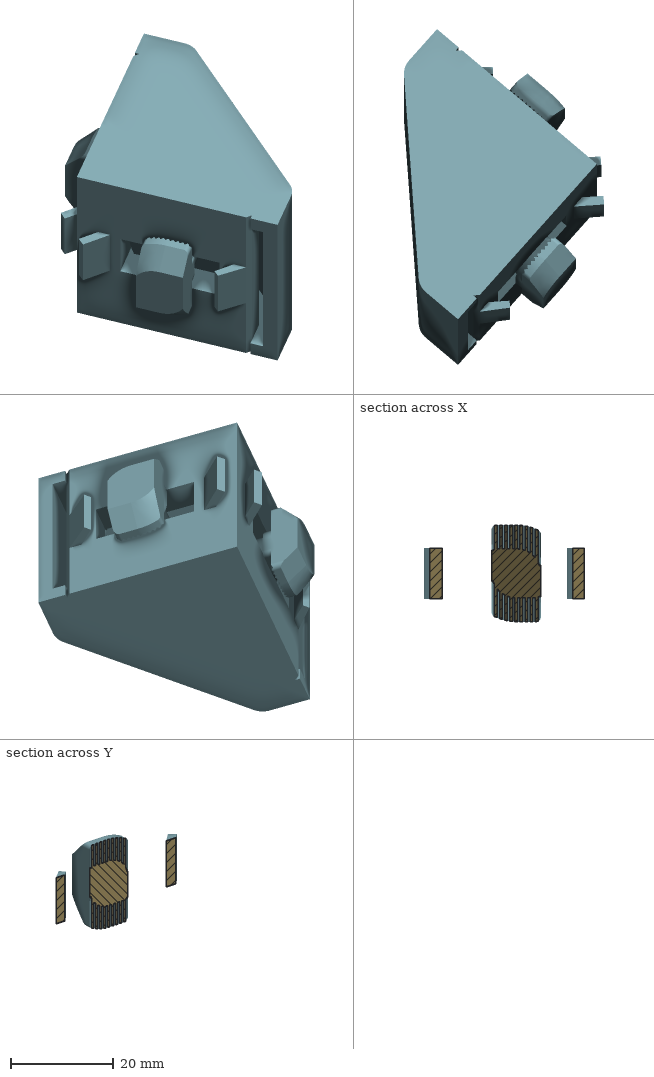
import cadquery as cq
import math


outer_length = 41.5
height = 38.0
wall = 3.0

bracket_length = 35.9
leg_thickness = 5.4
end_chamfer = 0.9
slot_start = 9.0
slot_end = 29.5
slot_height = 9.0
bolt_position = 19.5

tab_width = 10.0
inner_tab_root = (4.4, 6.88)
inner_tab_reach = 4.2
inner_tab_tip = 1.22
end_tab_root = 32.42
end_tab_reach = 3.95
end_tab_tip = 1.0

cover_bevel_sum = 51.55
cover_corner_radius = 4.0

bolt_width = 9.7
head_half_length = 9.5
head_tip = 7.3
head_bevel = 3.8
tooth_root = 2.05
tooth_depth = 0.5
tooth_pitch = 1.0
bolt_corner_fillet = 1.0
shank_diameter = 8.0
shank_length = 14.0

flange_diameter = 21.0
flange_thickness = 2.0
nut_height = 7.0
nut_across_flats = 13.0
nut_turns = [0, 90]

half_width = bolt_width / 2
tooth_tip = tooth_root - tooth_depth

x_face = cq.Plane(origin=(0, bolt_position, 0), xDir=(0, -1, 0), normal=(-1, 0, 0))
y_face = cq.Plane(origin=(bolt_position, 0, 0), xDir=(1, 0, 0), normal=(0, -1, 0))
faces = [x_face, y_face]


def placed(body, plane):
    """Move a body from its own frame onto a fastening face."""
    return cq.Workplane(body.val().moved(cq.Location(plane)))


def swapped(points):
    """Mirror points across the line X = Y."""
    return [(y, x) for x, y in points]


def prism(points, depth):
    """Extrude a plan outline, centred on the middle height."""
    return cq.Workplane("XY").polyline(points).close().extrude(depth / 2, both=True)


def tab_outlines():
    """Plan outlines of the two tabs on the X = 0 face."""
    near, far = inner_tab_root
    inner_base = inner_tab_reach - inner_tab_tip
    inner_tab = [
        (0, near),
        (-inner_base, near - inner_base),
        (-inner_tab_reach, far - inner_tab_reach),
        (0, far),
    ]
    end_base = end_tab_reach - end_tab_tip
    end_tip = end_tab_root - end_base
    end_tab = [
        (0, end_tab_root),
        (-end_base, end_tip),
        (-end_tab_reach, end_tip + end_tab_tip),
        (0, bracket_length - end_chamfer),
    ]
    return [inner_tab, end_tab]


def make_bracket():
    """Two slotted legs joined by triangular webs above and below, with tabs on both faces."""
    chamfered_end = [
        (leg_thickness, bracket_length),
        (end_chamfer, bracket_length),
        (0, bracket_length - end_chamfer),
    ]
    outline = [(0, 0), *reversed(swapped(chamfered_end)), *chamfered_end]
    bracket = prism(outline, height)

    cavity = [
        (leg_thickness, leg_thickness),
        (bracket_length, leg_thickness),
        (leg_thickness, bracket_length),
    ]
    bracket = bracket.cut(prism(cavity, height - 2 * wall))

    slot = [(0, slot_start), (leg_thickness, slot_start), (leg_thickness, slot_end), (0, slot_end)]
    for outline in [slot, swapped(slot)]:
        bracket = bracket.cut(prism(outline, slot_height))

    for outline in tab_outlines():
        bracket = bracket.union(prism(outline, tab_width))
        bracket = bracket.union(prism(swapped(outline), tab_width))
    return bracket


def cover_outline(size, bevel_sum):
    """Cover plan: a square of the given size with its far corner cut off at 45 degrees."""
    bevel_start = bevel_sum - size
    return [(0, 0), (size, 0), (size, bevel_start), (bevel_start, size), (0, size)]


def make_cover():
    """Hollow shell that wraps the sloping side and the ends of the bracket."""
    shell = prism(cover_outline(outer_length, cover_bevel_sum), height)
    bevel_start = cover_bevel_sum - outer_length
    for corner in [(outer_length, bevel_start), (bevel_start, outer_length)]:
        shell = shell.edges(cq.selectors.NearestToPointSelector((*corner, 0))).fillet(cover_corner_radius)

    inside = cover_outline(outer_length - wall, cover_bevel_sum - wall * math.sqrt(2))
    bracket_space = cover_outline(bracket_length, bracket_length + leg_thickness)
    return shell.cut(prism(inside, height - 2 * wall)).cut(prism(bracket_space, height))


def make_head():
    """Bevelled T-head: two square-cornered quadrants and two turned ones, toothed underneath."""
    profile = [
        (0, tooth_tip),
        (head_half_length, tooth_tip),
        (head_half_length, head_tip - head_bevel),
        (head_half_length - head_bevel, head_tip),
        (0, head_tip),
    ]
    square = cq.Workplane("YZ").polyline(profile).close().extrude(half_width)
    square = square.edges("|Z").edges(">X and >Y").fillet(bolt_corner_fillet)
    turned = cq.Workplane("YZ").polyline(profile).close().revolve(90, (0, 0, 0), (0, 1, 0))
    rounded = cq.Workplane("XY").circle(head_half_length).extrude(head_tip)
    rounded = rounded.intersect(cq.Workplane("XY").box(bolt_width, 2 * head_half_length, 2 * head_tip))
    rounded = rounded.edges("|Z").fillet(bolt_corner_fillet)
    turned = turned.intersect(rounded)
    upper_half = square.union(turned)
    head = upper_half.union(upper_half.rotate((0, 0, 0), (0, 0, 1), 180))

    groove_profile = [(-tooth_pitch / 2, tooth_tip), (0, tooth_root), (tooth_pitch / 2, tooth_tip)]
    groove = cq.Workplane("XZ").polyline(groove_profile).close().extrude(2 * head_half_length, both=True)
    groove_count = 2 * math.ceil(half_width / tooth_pitch)
    for index in range(groove_count):
        offset = (index - (groove_count - 1) / 2) * tooth_pitch
        head = head.cut(groove.translate((offset, 0, 0)))
    return head


def make_bolt():
    """T-head on a neck rounded at two opposite corners, with a plain shank reaching inward."""
    neck = cq.Workplane("XY").rect(bolt_width, bolt_width).extrude(tooth_root)
    for corner, radius in [(1, bolt_corner_fillet), (-1, half_width)]:
        for side in (1, -1):
            point = (side * half_width, side * corner * half_width, tooth_root / 2)
            neck = neck.edges(cq.selectors.NearestToPointSelector(point)).fillet(radius)
    shank = cq.Workplane("XY").circle(shank_diameter / 2).extrude(-shank_length)
    return make_head().union(neck).union(shank)


def make_nut(turn):
    """Flange nut against the inner side of a leg, its hexagon turned about the bolt axis."""
    across_corners = nut_across_flats / math.cos(math.pi / 6)
    hexagon = cq.Workplane("XY").polygon(6, across_corners).extrude(-nut_height)
    flange = cq.Workplane("XY").circle(flange_diameter / 2).extrude(-flange_thickness)
    nut = hexagon.rotate((0, 0, 0), (0, 0, 1), turn).union(flange)
    bore = cq.Workplane("XY").circle(shank_diameter / 2).extrude(-nut_height)
    return nut.cut(bore).translate((0, 0, -leg_thickness))


bracket = make_bracket()
cover = make_cover()
bolts = [placed(make_bolt(), face) for face in faces]
nuts = [placed(make_nut(turn), face) for turn, face in zip(nut_turns, faces)]

fasteners = [body.val() for body in bolts + nuts]
result = cq.Compound.makeCompound([bracket.val(), cover.val(), *fasteners])